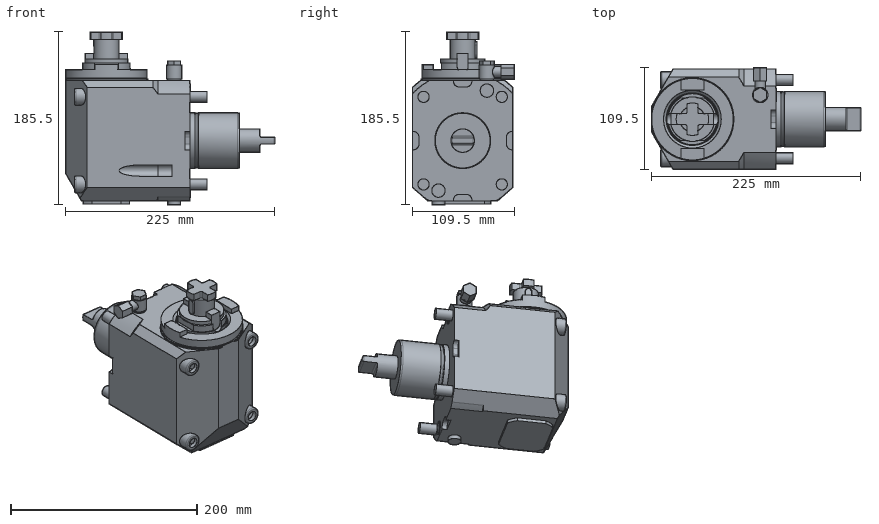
import cadquery as cq
import math


BODY_LENGTH = 133.5
BODY_HALF_WIDTH = 54.0
BODY_HALF_HEIGHT = 64.6
FRONT_SLOPE = math.radians(30)
FRONT_FLAT_HALF_WIDTH = 14.0
FRONT_CHAMFER_WIDTH = BODY_HALF_WIDTH - FRONT_FLAT_HALF_WIDTH
FRONT_CHAMFER_END_X = FRONT_CHAMFER_WIDTH * math.tan(FRONT_SLOPE) - BODY_LENGTH
NOSE_CHAMFER_HEIGHT = 29.3
NOSE_CHAMFER_LENGTH = NOSE_CHAMFER_HEIGHT * math.tan(FRONT_SLOPE)
TOP_CHAMFER = (8.8, 7.4)
BOTTOM_CHAMFER = (16.4, 14.4)
TURNED_RADIUS = 73.8
TURNED_LENGTH = 34.5
TURNED_CONE_LENGTH = 5.4
TURNED_CONE_RISE = 5.0

KEY_SLOT_WIDTH = 19.8
KEY_SLOT_DEPTH = 5.4
KEY_SLOT_REACH = 7.0
KEY_SLOT_CORNER_RADIUS = 6.2

RELIEF_RADIUS = 6.2
RELIEF_Z = -32.2
RELIEF_TIP_X = -76.0
RELIEF_END_X = -19.5
RELIEF_BEND_X = -TURNED_LENGTH
RELIEF_SLOPE = math.radians(15)

SCREW_Y = 42.0
SCREW_Z = 47.0
SCREW_HEAD_RADIUS = 9.1
SCREW_HEAD_X = -123.9
SCREW_HEAD_ROUND = 1.3
SCREW_RADIUS = 6.0
SCREW_TIP_X = 18.4
SOCKET_RADIUS = 5.35
SOCKET_WALL_DEPTH = 4.9
SOCKET_CONE_SLOPE = math.radians(31)
SOCKET_CONE_HEIGHT = SOCKET_RADIUS * math.tan(SOCKET_CONE_SLOPE)

SPIGOT_RADIUS = 30.0
SPIGOT_LENGTH = 53.0
SPIGOT_CHAMFER = (2.0, 0.6)
SEAL_GROOVE_START = 5.4
SEAL_GROOVE_WIDTH = 3.9
SEAL_GROOVE_RADIUS = 27.0
SEAL_RING_RADIUS = 27.8
SEAL_SECTION_RADIUS = 1.8
DRIVE_RADIUS = 12.6
DRIVE_SHOULDER_X = 75.2
DRIVE_TIP_X = 91.5
DRIVE_TIP_ROUND = 1.3
TANG_HALF_THICKNESS = 3.7
TANG_ROOT_RADIUS = 1.8

COOLANT_Y = 26.0
COOLANT_SEAL_Z = 53.7
COOLANT_SEAL_RADIUS = 7.2
COOLANT_SEAL_HEIGHT = 0.8

OUTPUT_X = -89.7
FLANGE_RADIUS = 43.8
FLANGE_BOTTOM_Z = 66.0
FLANGE_TOP_Z = 76.1
FLANGE_CHAMFER = 1.2
FLANGE_BASE_RADIUS = 44.6
BORE_RADIUS = 28.2
BORE_MOUTH_RADIUS = 31.0
BORE_FLOOR_Z = 67.3
TENON_WIDTH = 24.8
TENON_INNER_Y = 31.5
TENON_TOP_Z = 81.6

SPINDLE_RADIUS = 26.2
SPINDLE_BASE_RADIUS = 27.4
SPINDLE_BASE_TOP_Z = FLANGE_TOP_Z
SPINDLE_FLAT_Y = 22.8
SPINDLE_TOP_Z = 83.6
DISC_RADIUS = 23.9
DISC_TOP_Z = 87.7
DRIVE_KEY_WIDTH = 11.8
DRIVE_KEY_INNER = 13.7
DRIVE_KEY_REACH = 22.9
DRIVE_KEY_TOP_Z = 93.8
DRIVE_KEY_SLOT_AXIS_Z = 79.4
STEM_RADIUS = 13.6
CROSS_BOTTOM_Z = 108.4
CROSS_TOP_Z = 116.5
CROSS_REACH = 17.4
CROSS_ARM_WIDTH = 11.7
CROSS_CORNER_RADIUS = 2.0
STEM_KEY_WIDTH = 7.2
STEM_KEY_OUTER_Y = 15.4
STEM_KEY_BOTTOM_Z = 88.6
STEM_KEY_TOP_Z = 106.2

FITTING_X = -16.9
FITTING_RADIUS = 8.3
FITTING_FOOT_RADIUS = 7.3
FITTING_FOOT_TOP_Z = 66.4
FITTING_BODY_TOP_Z = 81.0
FITTING_TOP_Z = 85.6
HEX_ACROSS_CORNERS = 16.1
NOZZLE_Z = 73.7
NOZZLE_NECK_RADIUS = 5.8
NOZZLE_HEX_START_Y = 41.1
NOZZLE_END_Y = 55.5
PLUG_RADIUS = 7.0
PLUG_BOTTOM_Z = -69.0

COVER_LENGTH = 49.8
COVER_WIDTH = 60.8
COVER_RADIUS = 34.2
COVER_BOTTOM_Z = -68.1

SIDES = (-1, 1)


def box_between(x_range, y_range, z_range):
    """Box spanning the given (low, high) ranges."""
    (x0, x1), (y0, y1), (z0, z1) = x_range, y_range, z_range
    return cq.Workplane("XY").box(x1 - x0, y1 - y0, z1 - z0, centered=False).translate((x0, y0, z0))


def cylinder_x(radius, x_start, x_end, y=0.0, z=0.0):
    """Cylinder along X."""
    start = cq.Workplane("YZ", origin=(x_start, y, z))
    return start.circle(radius).extrude(x_end - x_start)


def cylinder_z(radius, z_start, z_end, x=OUTPUT_X, y=0.0):
    """Cylinder along Z, on the output axis unless placed elsewhere."""
    start = cq.Workplane("XY", origin=(x, y, z_start))
    return start.circle(radius).extrude(z_end - z_start)


def revolve_about_x(profile):
    """Solid of revolution about X from a closed list of (x, radius) points."""
    return cq.Workplane("XY").polyline(profile).close().revolve(360, (0, 0, 0), (1, 0, 0))


def make_plan():
    """Housing outline seen along Z, extruded over the full height."""
    outline = [
        (0, -BODY_HALF_WIDTH),
        (0, BODY_HALF_WIDTH),
        (FRONT_CHAMFER_END_X, BODY_HALF_WIDTH),
        (-BODY_LENGTH, FRONT_FLAT_HALF_WIDTH),
        (-BODY_LENGTH, -FRONT_FLAT_HALF_WIDTH),
        (FRONT_CHAMFER_END_X, -BODY_HALF_WIDTH),
    ]
    plan = cq.Workplane("XY").polyline(outline).close().extrude(2 * BODY_HALF_HEIGHT)
    return plan.translate((0, 0, -BODY_HALF_HEIGHT))


def make_cross_section():
    """Eight-sided housing section across X, extruded over the full length."""
    top_width, top_height = TOP_CHAMFER
    bottom_width, bottom_height = BOTTOM_CHAMFER
    half_outline = [
        (BODY_HALF_WIDTH - bottom_width, -BODY_HALF_HEIGHT),
        (BODY_HALF_WIDTH, bottom_height - BODY_HALF_HEIGHT),
        (BODY_HALF_WIDTH, BODY_HALF_HEIGHT - top_height),
        (BODY_HALF_WIDTH - top_width, BODY_HALF_HEIGHT),
    ]
    mirrored = [(-y, z) for y, z in reversed(half_outline)]
    section = cq.Workplane("YZ").polyline(half_outline + mirrored).close()
    return section.extrude(-BODY_LENGTH)


def make_nose_wedge():
    """Material removed by the sloping face at the bottom of the front."""
    outline = [
        (-BODY_LENGTH, -BODY_HALF_HEIGHT),
        (NOSE_CHAMFER_LENGTH - BODY_LENGTH, -BODY_HALF_HEIGHT),
        (-BODY_LENGTH, NOSE_CHAMFER_HEIGHT - BODY_HALF_HEIGHT),
    ]
    return cq.Workplane("XZ").polyline(outline).close().extrude(BODY_HALF_WIDTH, both=True)


def make_turned_envelope():
    """Envelope that rounds the rear end and leads into the front part through a cone."""
    clear_radius = math.hypot(BODY_HALF_WIDTH, BODY_HALF_HEIGHT)
    cone_start_x = -TURNED_LENGTH - TURNED_CONE_LENGTH
    cone_start_radius = TURNED_RADIUS + TURNED_CONE_RISE
    return revolve_about_x([
        (0, 0),
        (0, TURNED_RADIUS),
        (-TURNED_LENGTH, TURNED_RADIUS),
        (cone_start_x, cone_start_radius),
        (cone_start_x, clear_radius),
        (-BODY_LENGTH, clear_radius),
        (-BODY_LENGTH, 0),
    ])


def make_key_slot(outer_face, angle):
    """Slot in the mounting face, open to the side at distance outer_face, turned about X by angle."""
    half_width = KEY_SLOT_WIDTH / 2
    slot = box_between(
        (-KEY_SLOT_DEPTH, 0),
        (-half_width, half_width),
        (outer_face - KEY_SLOT_REACH, outer_face),
    )
    slot = slot.edges("|X and <Z").fillet(KEY_SLOT_CORNER_RADIUS)
    return slot.rotate((0, 0, 0), (1, 0, 0), angle)


def channel_along(plane, length):
    """Channel with a half-round bottom, open towards the local -y of its starting plane."""
    side_height = 2 * RELIEF_RADIUS
    channel = cq.Workplane(plane).circle(RELIEF_RADIUS).extrude(length)
    sides = cq.Workplane(plane).center(0, -side_height / 2).rect(2 * RELIEF_RADIUS, side_height)
    return channel.union(sides.extrude(length))


def make_relief():
    """Round-bottomed channel: a sloping scoop running into a level stretch."""
    bottom_depth = (RELIEF_BEND_X - RELIEF_TIP_X) * math.tan(RELIEF_SLOPE)
    bottom_y = bottom_depth - BODY_HALF_WIDTH
    level_plane = cq.Plane(
        origin=(RELIEF_BEND_X, bottom_y - RELIEF_RADIUS, RELIEF_Z),
        xDir=(0, 0, -1),
        normal=(1, 0, 0),
    )
    level = channel_along(level_plane, RELIEF_END_X - RELIEF_BEND_X)
    bend_axis_y = bottom_y - RELIEF_RADIUS / math.cos(RELIEF_SLOPE)
    scoop_plane = cq.Plane(
        origin=(RELIEF_BEND_X, bend_axis_y, RELIEF_Z),
        xDir=(0, 0, 1),
        normal=(-math.cos(RELIEF_SLOPE), -math.sin(RELIEF_SLOPE), 0),
    )
    scoop = channel_along(scoop_plane, BODY_HALF_WIDTH).union(channel_along(scoop_plane, -RELIEF_RADIUS))
    scoop_limit = box_between(
        (-BODY_LENGTH, RELIEF_BEND_X),
        (-2 * BODY_HALF_WIDTH, 0),
        (-BODY_HALF_HEIGHT, BODY_HALF_HEIGHT),
    )
    return level.union(scoop.intersect(scoop_limit))


def make_housing():
    housing = make_plan().intersect(make_cross_section())
    housing = housing.cut(make_nose_wedge()).intersect(make_turned_envelope())
    for angle in (0, 180):
        housing = housing.cut(make_key_slot(BODY_HALF_HEIGHT, angle))
    for angle in (90, 270):
        housing = housing.cut(make_key_slot(BODY_HALF_WIDTH, angle))
    return housing.cut(make_relief())


def make_screw(y, z):
    """Cap screw: its rounded head with a conical-bottomed socket, and its projecting shank."""
    head = cylinder_x(SCREW_HEAD_RADIUS, SCREW_HEAD_X, FRONT_CHAMFER_END_X, y, z)
    head = head.faces("<X").edges().fillet(SCREW_HEAD_ROUND)
    wall_end_x = SCREW_HEAD_X + SOCKET_WALL_DEPTH
    socket = cylinder_x(SOCKET_RADIUS, SCREW_HEAD_X, wall_end_x, y, z)
    socket_cone = cq.Solid.makeCone(
        SOCKET_RADIUS, 0, SOCKET_CONE_HEIGHT, cq.Vector(wall_end_x, y, z), cq.Vector(1, 0, 0)
    )
    shank = cylinder_x(SCREW_RADIUS, 0, SCREW_TIP_X, y, z)
    return head.cut(socket).cut(cq.Workplane(socket_cone)), shank


def make_spigot():
    """Clamping spigot with a seal ring lying in its groove."""
    chamfer_length, chamfer_depth = SPIGOT_CHAMFER
    groove_end = SEAL_GROOVE_START + SEAL_GROOVE_WIDTH
    spigot = revolve_about_x([
        (0, 0),
        (0, SPIGOT_RADIUS),
        (SEAL_GROOVE_START, SPIGOT_RADIUS),
        (SEAL_GROOVE_START, SEAL_GROOVE_RADIUS),
        (groove_end, SEAL_GROOVE_RADIUS),
        (groove_end, SPIGOT_RADIUS),
        (SPIGOT_LENGTH - chamfer_length, SPIGOT_RADIUS),
        (SPIGOT_LENGTH, SPIGOT_RADIUS - chamfer_depth),
        (SPIGOT_LENGTH, 0),
    ])
    seal = cq.Solid.makeTorus(
        SEAL_RING_RADIUS,
        SEAL_SECTION_RADIUS,
        cq.Vector(SEAL_GROOVE_START + SEAL_SECTION_RADIUS, 0, 0),
        cq.Vector(1, 0, 0),
    )
    return spigot.union(cq.Workplane(seal))


def make_drive_shaft():
    """Round shaft ending in a flat tang with a rounded tip."""
    shaft = cylinder_x(DRIVE_RADIUS, SPIGOT_LENGTH, DRIVE_TIP_X)
    flat = box_between(
        (DRIVE_SHOULDER_X, DRIVE_TIP_X),
        (-DRIVE_RADIUS, DRIVE_RADIUS),
        (TANG_HALF_THICKNESS, DRIVE_RADIUS),
    )
    flat = flat.edges("|Y and <X and <Z").fillet(TANG_ROOT_RADIUS)
    shaft = shaft.cut(flat).cut(flat.mirror("XY"))
    return shaft.faces(">X").edges().fillet(DRIVE_TIP_ROUND)


def make_flange():
    """Output flange with a countersunk bore and two tenons, on a slightly wider base ring."""
    base = cylinder_z(FLANGE_BASE_RADIUS, BODY_HALF_HEIGHT, FLANGE_BOTTOM_Z)
    front_trim = box_between(
        (-2 * BODY_LENGTH, -BODY_LENGTH),
        (-BODY_HALF_WIDTH, BODY_HALF_WIDTH),
        (BODY_HALF_HEIGHT, FLANGE_BOTTOM_Z),
    )
    flange = cylinder_z(FLANGE_RADIUS, FLANGE_BOTTOM_Z, FLANGE_TOP_Z)
    flange = flange.faces("<Z").edges().chamfer(FLANGE_CHAMFER)
    half_width = TENON_WIDTH / 2
    for low_y, high_y in ((TENON_INNER_Y, FLANGE_RADIUS), (-FLANGE_RADIUS, -TENON_INNER_Y)):
        tenon = box_between(
            (OUTPUT_X - half_width, OUTPUT_X + half_width), (low_y, high_y), (FLANGE_TOP_Z, TENON_TOP_Z)
        )
        flange = flange.union(tenon.intersect(cylinder_z(FLANGE_RADIUS, FLANGE_TOP_Z, TENON_TOP_Z)))
    bore = cylinder_z(BORE_RADIUS, BORE_FLOOR_Z, FLANGE_TOP_Z)
    mouth_depth = BORE_MOUTH_RADIUS - BORE_RADIUS
    mouth = cq.Solid.makeCone(
        BORE_RADIUS, BORE_MOUTH_RADIUS, mouth_depth, cq.Vector(OUTPUT_X, 0, FLANGE_TOP_Z - mouth_depth)
    )
    return flange.union(base.cut(front_trim)).cut(bore).cut(cq.Workplane(mouth))


def make_drive_key_slot(side):
    """Round-bottomed slot in the spindle rim, outside the drive key on the given X side."""
    inner_x = OUTPUT_X + side * DRIVE_KEY_REACH
    outer_x = OUTPUT_X + side * BORE_RADIUS
    half_width = DRIVE_KEY_WIDTH / 2
    trough = cylinder_x(half_width, inner_x, outer_x, 0, DRIVE_KEY_SLOT_AXIS_Z)
    upper = box_between(
        (min(inner_x, outer_x), max(inner_x, outer_x)),
        (-half_width, half_width),
        (DRIVE_KEY_SLOT_AXIS_Z, DISC_TOP_Z),
    )
    return trough.union(upper)


def make_cross_head():
    """Four-armed head with rounded inner corners and arms ending on a common circle."""
    height = CROSS_TOP_Z - CROSS_BOTTOM_Z
    head = cq.Workplane("XY").rect(2 * CROSS_REACH, CROSS_ARM_WIDTH).extrude(height)
    head = head.union(cq.Workplane("XY").rect(CROSS_ARM_WIDTH, 2 * CROSS_REACH).extrude(height))
    inner_corners = cq.selectors.BoxSelector(
        (-CROSS_ARM_WIDTH, -CROSS_ARM_WIDTH, 0), (CROSS_ARM_WIDTH, CROSS_ARM_WIDTH, height)
    )
    head = head.edges("|Z").edges(inner_corners).fillet(CROSS_CORNER_RADIUS)
    head = head.translate((OUTPUT_X, 0, CROSS_BOTTOM_Z))
    return head.intersect(cylinder_z(CROSS_REACH, CROSS_BOTTOM_Z, CROSS_TOP_Z))


def make_stem_key():
    """Round-ended key standing out of the +Y side of the stem."""
    key = cq.Workplane("XZ").slot2D(STEM_KEY_TOP_Z - STEM_KEY_BOTTOM_Z, STEM_KEY_WIDTH, 90)
    key = key.extrude(-STEM_KEY_OUTER_Y)
    return key.translate((OUTPUT_X, 0, (STEM_KEY_TOP_Z + STEM_KEY_BOTTOM_Z) / 2))


def make_spindle():
    base = cylinder_z(SPINDLE_BASE_RADIUS, BORE_FLOOR_Z, SPINDLE_BASE_TOP_Z)
    spindle = cylinder_z(SPINDLE_RADIUS, SPINDLE_BASE_TOP_Z, SPINDLE_TOP_Z)
    flats = box_between(
        (OUTPUT_X - SPINDLE_RADIUS, OUTPUT_X + SPINDLE_RADIUS),
        (-SPINDLE_FLAT_Y, SPINDLE_FLAT_Y),
        (SPINDLE_BASE_TOP_Z, SPINDLE_TOP_Z),
    )
    spindle = spindle.intersect(flats).union(base).union(cylinder_z(DISC_RADIUS, SPINDLE_TOP_Z, DISC_TOP_Z))
    for side in SIDES:
        spindle = spindle.cut(make_drive_key_slot(side))
    key_length = DRIVE_KEY_REACH - DRIVE_KEY_INNER
    for key_start in (-DRIVE_KEY_REACH, DRIVE_KEY_INNER):
        drive_key = box_between(
            (OUTPUT_X + key_start, OUTPUT_X + key_start + key_length),
            (-DRIVE_KEY_WIDTH / 2, DRIVE_KEY_WIDTH / 2),
            (DISC_TOP_Z, DRIVE_KEY_TOP_Z),
        )
        spindle = spindle.union(drive_key)
    stem = cylinder_z(STEM_RADIUS, DISC_TOP_Z, CROSS_BOTTOM_Z)
    return spindle.union(stem).union(make_stem_key()).union(make_cross_head())


def make_coolant_elbow():
    """Upright fitting with a hexagonal cap and a hexagonal nozzle pointing along +Y."""
    foot = cylinder_z(FITTING_FOOT_RADIUS, BODY_HALF_HEIGHT, FITTING_FOOT_TOP_Z, FITTING_X, COOLANT_Y)
    upright = cylinder_z(FITTING_RADIUS, FITTING_FOOT_TOP_Z, FITTING_BODY_TOP_Z, FITTING_X, COOLANT_Y)
    cap = cq.Workplane("XY").polygon(6, HEX_ACROSS_CORNERS).extrude(FITTING_TOP_Z - FITTING_BODY_TOP_Z)
    cap = cap.rotate((0, 0, 0), (0, 0, 1), 90).translate((FITTING_X, COOLANT_Y, FITTING_BODY_TOP_Z))
    neck = cq.Workplane("XZ", origin=(FITTING_X, COOLANT_Y, NOZZLE_Z)).circle(NOZZLE_NECK_RADIUS)
    neck = neck.extrude(COOLANT_Y - NOZZLE_HEX_START_Y)
    nozzle = cq.Workplane("XZ").polygon(6, HEX_ACROSS_CORNERS).extrude(NOZZLE_HEX_START_Y - NOZZLE_END_Y)
    nozzle = nozzle.rotate((0, 0, 0), (0, 1, 0), 90).translate((FITTING_X, NOZZLE_HEX_START_Y, NOZZLE_Z))
    return foot.union(upright).union(cap).union(neck).union(nozzle)


def make_cover():
    """Round cover under the housing, trimmed flat on four sides."""
    cover = cylinder_z(COVER_RADIUS, COVER_BOTTOM_Z, -BODY_HALF_HEIGHT)
    limits = box_between(
        (OUTPUT_X - COVER_LENGTH / 2, OUTPUT_X + COVER_LENGTH / 2),
        (-COVER_WIDTH / 2, COVER_WIDTH / 2),
        (COVER_BOTTOM_Z, -BODY_HALF_HEIGHT),
    )
    return cover.intersect(limits)


def make_holder():
    """Complete holder: housing with screws, seals, spigot, drive shaft, output and coolant parts."""
    holder = make_housing()
    for side_y in SIDES:
        for side_z in SIDES:
            head, shank = make_screw(side_y * SCREW_Y, side_z * SCREW_Z)
            holder = holder.union(head).union(shank)
    for side in SIDES:
        seal_y = side * COOLANT_Y
        seal_z = side * COOLANT_SEAL_Z
        seal = cylinder_x(COOLANT_SEAL_RADIUS, 0, COOLANT_SEAL_HEIGHT, seal_y, seal_z)
        holder = holder.union(seal)
    holder = holder.union(make_spigot()).union(make_drive_shaft())
    holder = holder.union(make_flange()).union(make_spindle())
    plug = cylinder_z(PLUG_RADIUS, PLUG_BOTTOM_Z, -BODY_HALF_HEIGHT, FITTING_X, -COOLANT_Y)
    return holder.union(make_coolant_elbow()).union(plug).union(make_cover())


result = make_holder()